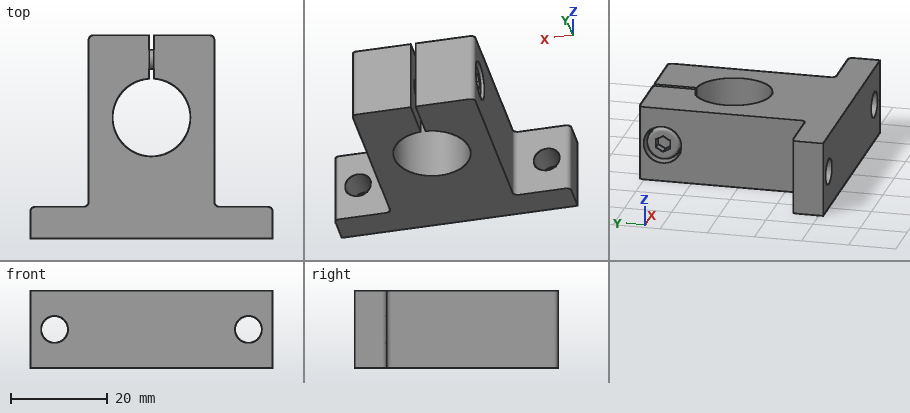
import cadquery as cq
import math

foot_length = 50.0
foot_thickness = 6.6
body_width = 26.0
total_height = 42.0
thickness = 16.0
corner_radius = 1.0

bore_diameter = 16.0
bore_height = 25.0
slot_width = 1.0

mount_hole_diameter = 5.5
mount_hole_spacing = 40.0

screw_drop = 5.0
shank_diameter = 4.0
head_diameter = 7.0
head_height = 4.0
head_edge_radius = 0.7
head_recess = 0.5
counterbore_diameter = 8.0
hex_across_flats = 3.0
hex_depth = 2.0

mid_z = thickness / 2
screw_height = total_height - screw_drop
body_flank_x = -body_width / 2
head_top_x = body_flank_x + head_recess
counterbore_depth = head_recess + head_height


def make_block():
    """Inverted-T profile with every corner rounded except those of the mounting face."""
    foot = cq.Workplane("XY").box(foot_length, foot_thickness, thickness, centered=(True, False, False))
    body = cq.Workplane("XY").box(body_width, total_height, thickness, centered=(True, False, False))
    return foot.union(body).edges("|Z").edges("not <Y").fillet(corner_radius)


def cut_bore_and_slot(block):
    bore = (
        cq.Workplane("XY")
        .center(0, bore_height)
        .circle(bore_diameter / 2)
        .extrude(thickness)
    )
    slot = (
        cq.Workplane("XY")
        .center(0, bore_height)
        .box(slot_width, total_height - bore_height, thickness, centered=(True, False, False))
    )
    return block.cut(bore).cut(slot)


def cut_mount_holes(block):
    for x in (-mount_hole_spacing / 2, mount_hole_spacing / 2):
        hole = cq.Workplane("XZ", origin=(x, 0, mid_z)).circle(mount_hole_diameter / 2).extrude(-foot_thickness)
        block = block.cut(hole)
    return block


def screw_plane(x):
    """Plane across the screw axis at the given X, facing +X."""
    return cq.Workplane("YZ", origin=(x, screw_height, mid_z))


def make_screw_head():
    """Cap head with a rounded rim and a hex socket that has two corners along Z."""
    head = screw_plane(head_top_x).circle(head_diameter / 2).extrude(head_height)
    head = head.faces("<X").edges().fillet(head_edge_radius)
    hex_across_corners = hex_across_flats / math.cos(math.pi / 6)
    socket = (
        screw_plane(head_top_x)
        .transformed(rotate=(0, 0, 90))
        .polygon(6, hex_across_corners)
        .extrude(hex_depth)
    )
    return head.cut(socket)


def add_clamp_screw(block):
    """Sink the screw head in its counterbore and bridge the slot with the shank."""
    counterbore = screw_plane(body_flank_x).circle(counterbore_diameter / 2).extrude(counterbore_depth)
    shank = screw_plane(-slot_width / 2).circle(shank_diameter / 2).extrude(slot_width)
    return block.cut(counterbore).union(make_screw_head()).union(shank)


block = cut_mount_holes(cut_bore_and_slot(make_block()))
result = add_clamp_screw(block)